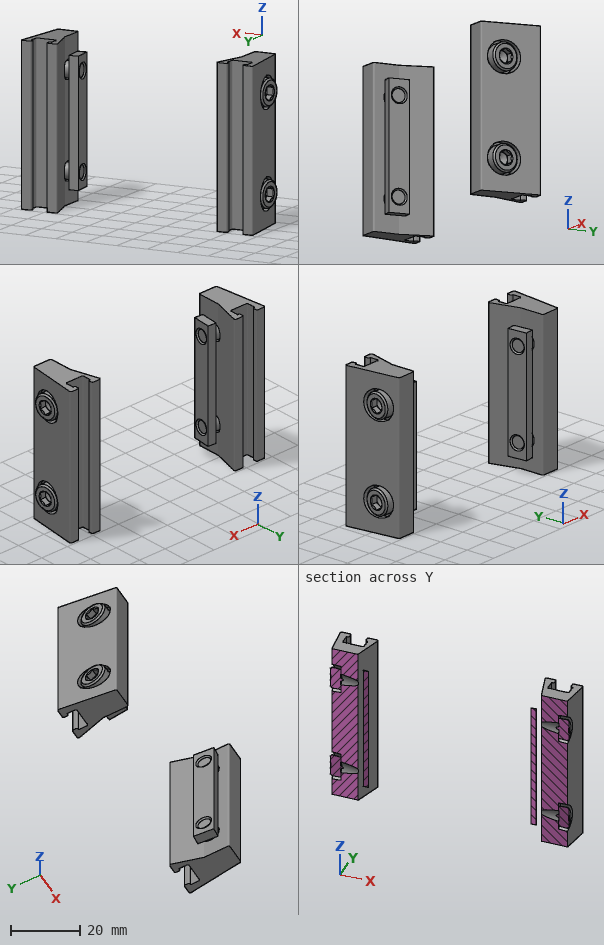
import cadquery as cq
import math

half_span = 38.0
rail_height = 50.0

rail_front_y = -9.3
rail_back_y = 9.3
outer_lean = 7.1
inner_front_x = -28.9
inner_bend_y = -0.9
inner_back_x = -26.05
rail_edge_radius = 0.5

slot_center_x = -32.1
slot_width = 6.6
slot_mouth_width = 5.2
slot_floor_y = 4.3
lip_thickness = 1.8
slot_radius = 0.45
lip_radius = 0.45

tilt = 5.3
bar_center_x = -25.9
bar_center_y = -3.2
bar_thickness = 3.0
bar_width = 6.45
bar_length = 39.7

screw_spacing = 30.0
shank_diameter = 5.0
thread_diameter = 4.1
head_diameter = 8.5
head_height = 3.35
head_chamfer = 0.5
socket_across_flats = 4.0
socket_mouth_diameter = 4.7
socket_depth = 2.3
socket_tip_angle = 118.0

bar_hole_chamfer = 0.45
clearance_diameter = 6.0
counterbore_diameter = 10.0

lean_angle = math.radians(outer_lean)
corner_overshoot = rail_edge_radius * (1 / math.tan(math.pi / 4 - lean_angle / 2) - 1)
outer_back_x = -half_span - corner_overshoot
outer_front_x = outer_back_x + (rail_back_y - rail_front_y) * math.tan(lean_angle)

tilt_angle = math.radians(tilt)
head_rim_radius = head_diameter / 2 - head_chamfer
head_face = (-half_span - bar_center_x + head_rim_radius * math.sin(tilt_angle)) / math.cos(tilt_angle)
head_seat = head_face + head_height
shank_end = -bar_thickness / 2
tip_end = bar_thickness / 2 - bar_hole_chamfer
screw_heights = (-screw_spacing / 2, screw_spacing / 2)


def tilted(body, height):
    """Move a body from the screw axis frame (X along the axis) to its place in the assembly."""
    turned = body.rotate((0, 0, 0), (0, 0, 1), -tilt)
    return turned.translate((bar_center_x, bar_center_y, height))


def axial_cylinder(diameter, start, end):
    """Cylinder along X between two places on the screw axis."""
    return cq.Workplane("YZ", origin=(start, 0, 0)).circle(diameter / 2).extrude(end - start)


def axial_cone(start_radius, end_radius, start, end):
    """Cone along X between two places on the screw axis."""
    along_x = cq.Vector(1, 0, 0)
    cone = cq.Solid.makeCone(start_radius, end_radius, end - start, pnt=cq.Vector(start, 0, 0), dir=along_x)
    return cq.Workplane(cone)


def prism(sketch_box, height):
    """Box from (x_min, x_max, y_min, y_max), centred on Z = 0."""
    x_min, x_max, y_min, y_max = sketch_box
    box = cq.Workplane("XY").box(x_max - x_min, y_max - y_min, height)
    return box.translate(((x_min + x_max) / 2, (y_min + y_max) / 2, 0))


def make_slot():
    """T-shaped cutter for the slot: a wide chamber behind a narrower mouth."""
    lip_front_y = rail_back_y - lip_thickness
    chamber = prism(
        (slot_center_x - slot_width / 2, slot_center_x + slot_width / 2, slot_floor_y, lip_front_y),
        rail_height,
    )
    chamber = chamber.edges("|Z and <Y").fillet(slot_radius)
    mouth = prism(
        (slot_center_x - slot_mouth_width / 2, slot_center_x + slot_mouth_width / 2,
         slot_floor_y, rail_back_y),
        rail_height,
    )
    return chamber.union(mouth)


def make_rail():
    outline = [
        (outer_back_x, rail_back_y),
        (outer_front_x, rail_front_y),
        (inner_front_x, rail_front_y),
        (inner_front_x, inner_bend_y),
        (inner_back_x, rail_back_y),
    ]
    rail = cq.Workplane("XY").polyline(outline).close().extrude(rail_height / 2, both=True)
    rail = rail.edges("|Z and (<Y or >Y)").fillet(rail_edge_radius)
    rail = rail.cut(make_slot())

    mouth_corners = cq.selectors.BoxSelector(
        (slot_center_x - slot_mouth_width / 2 - lip_radius, rail_back_y - lip_thickness - lip_radius, -0.75),
        (slot_center_x + slot_mouth_width / 2 + lip_radius, rail_back_y + lip_radius, 0.75),
    )
    rail = rail.edges("|Z").edges(mouth_corners).fillet(lip_radius)

    for height in screw_heights:
        clearance = axial_cylinder(clearance_diameter, head_seat, 0)
        counterbore = axial_cylinder(counterbore_diameter, head_face - head_height, head_seat)
        rail = rail.cut(tilted(clearance.union(counterbore), height))
    return rail


def make_bar():
    bar = tilted(cq.Workplane("XY").box(bar_thickness, bar_width, bar_length), 0)
    for height in screw_heights:
        thread_hole = axial_cylinder(thread_diameter, -bar_thickness / 2, bar_thickness / 2)
        wide_radius = thread_diameter / 2 + bar_hole_chamfer
        hole_mouth = axial_cone(thread_diameter / 2, wide_radius, tip_end, bar_thickness / 2)
        bar = bar.cut(tilted(thread_hole, height)).cut(tilted(hole_mouth, height))
    return bar


def make_screw(height):
    head = axial_cylinder(head_diameter, head_face, head_seat).faces("<X").chamfer(head_chamfer)
    screw = head.union(axial_cylinder(shank_diameter, head_seat, shank_end))
    screw = screw.union(axial_cylinder(thread_diameter, shank_end, tip_end))

    socket_floor = head_face + socket_depth
    socket = (
        cq.Workplane("YZ", origin=(head_face, 0, 0))
        .polygon(6, socket_across_flats, circumscribed=True)
        .extrude(socket_depth)
    )
    tip_radius = socket_across_flats / 2
    tip_depth = tip_radius / math.tan(math.radians(socket_tip_angle / 2))
    tip = axial_cone(tip_radius, 0, socket_floor, socket_floor + tip_depth)

    mouth_radius = socket_mouth_diameter / 2
    lead_in = axial_cone(mouth_radius, tip_radius, head_face, head_face + mouth_radius - tip_radius)
    return tilted(screw.cut(socket).cut(tip).cut(lead_in), height)


clamp = [make_rail(), make_bar()]
for screw_height in screw_heights:
    clamp.append(make_screw(screw_height))

bodies = []
for body in clamp:
    bodies.append(body.val())
    bodies.append(body.mirror("YZ").val())

result = cq.Compound.makeCompound(bodies)